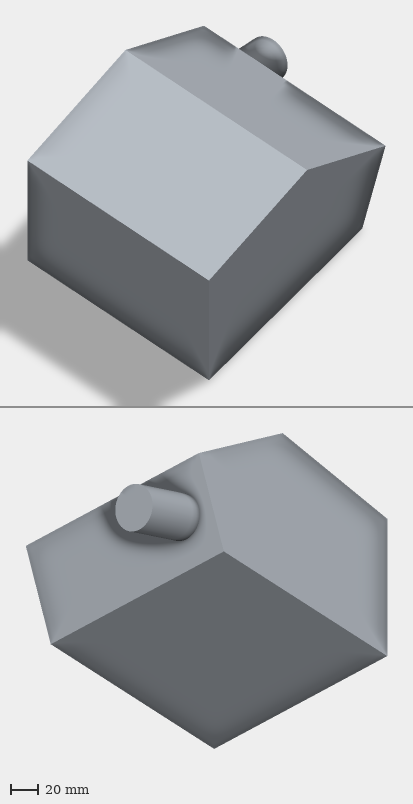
import cadquery as cq
import math

length = 249.9
width = 173.0
height = 142.0

front_height = 125.0
ridge_y = 114.2
rear_foot_y = 178.5
rear_edge_height = 75.0
rear_tilt = math.radians(20)
rear_edge_y = rear_foot_y + rear_edge_height * math.tan(rear_tilt)

cover_thickness = 30.5

pipe_diameter = 35.5
pipe_x = 30.0
pipe_up_wall = 40.7
pipe_top_up_wall = pipe_up_wall + pipe_diameter / 2
pipe_length = (
    length - rear_foot_y - pipe_top_up_wall * math.sin(rear_tilt)
) / math.cos(rear_tilt)

front_slope = (height - front_height) / ridge_y
joint_height = front_height + front_slope * cover_thickness


def extrude_profile(points):
    """Extrude a closed (Y, Z) outline across the full width."""
    return cq.Workplane("YZ").polyline(points).close().extrude(width)


def make_cover():
    """Front slab whose top follows the front roof slope."""
    return extrude_profile([
        (0, 0),
        (cover_thickness, 0),
        (cover_thickness, joint_height),
        (0, front_height),
    ])


def make_pipe():
    """Solid stub that starts on the rear wall and slopes down and outward."""
    start = cq.Vector(
        pipe_x,
        rear_foot_y + pipe_up_wall * math.sin(rear_tilt),
        pipe_up_wall * math.cos(rear_tilt),
    )
    axis = cq.Vector(0, math.cos(rear_tilt), -math.sin(rear_tilt))
    return cq.Solid.makeCylinder(pipe_diameter / 2, pipe_length, start, axis)


def make_housing():
    """Ridged body behind the cover, with the pipe joined to its rear wall."""
    shell = extrude_profile([
        (cover_thickness, 0),
        (rear_foot_y, 0),
        (rear_edge_y, rear_edge_height),
        (ridge_y, height),
        (cover_thickness, joint_height),
    ])
    return shell.union(cq.Workplane(make_pipe()))


cover = make_cover()
housing = make_housing()
result = cq.Compound.makeCompound([cover.val(), *housing.solids().vals()])